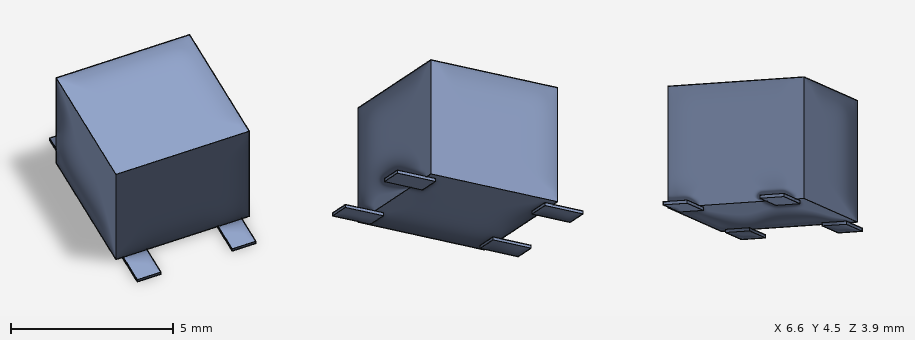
import cadquery as cq

overall_length = 6.6
overall_height = 3.9
housing_side = 4.5

lead_length = 1.35
lead_width = 0.8
lead_thickness = 0.1
lead_pitch = 3.2

housing_height = overall_height - lead_thickness
lead_center_x = (overall_length - lead_length) / 2
lead_center_y = lead_pitch / 2


def make_housing():
    """Plain block resting on top of the leads."""
    return (
        cq.Workplane("XY")
        .workplane(offset=lead_thickness)
        .rect(housing_side, housing_side)
        .extrude(housing_height)
    )


def make_lead(center_x, center_y):
    """Flat strip on the base plane, reaching partly under the housing."""
    return (
        cq.Workplane("XY")
        .center(center_x, center_y)
        .rect(lead_length, lead_width)
        .extrude(lead_thickness)
    )


housing = make_housing()
leads = [
    make_lead(side_x * lead_center_x, side_y * lead_center_y)
    for side_x in (-1, 1)
    for side_y in (-1, 1)
]

result = cq.Compound.makeCompound([housing.val(), *[lead.val() for lead in leads]])